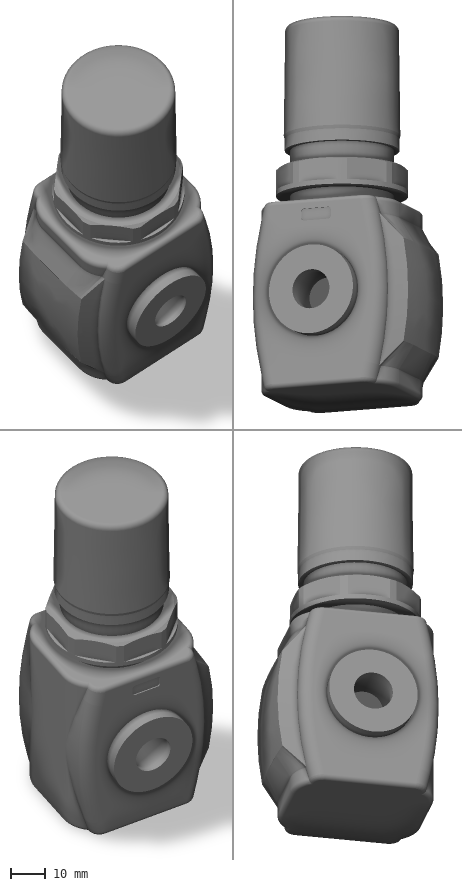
import cadquery as cq
import math

HOUSING_HEIGHT = 54.9
HOUSING_HALF_WIDTH = 20.1
MID_Z = HOUSING_HEIGHT / 2
SIDE_CORNER_RADIUS = 3.7
RIM_RADIUS = 1.3
BOW_Y = 20.8
BOW_SAG = 2.6
BOW_HALF_HEIGHT = 22.3
BOW_RADIUS = (BOW_HALF_HEIGHT**2 + BOW_SAG**2) / (2 * BOW_SAG)
SEAM_X = HOUSING_HALF_WIDTH - SIDE_CORNER_RADIUS

PAD_Y = 20.9
PAD_FLAT_HALF_WIDTH = 8.2
PAD_ARC_RADIUS = 10.4

COVER_ROOT_Y = 10.9
COVER_HALF_WIDTH = 13.5
COVER_HALF_HEIGHT = 15.2
COVER_CREST_Y = 26.9
COVER_CREST_SAG = 1.9
COVER_EDGE_Y = 25.9
COVER_EDGE_SAG = 1.4
COVER_FLAT_HALF_WIDTH = 6.8
COVER_STRIP_X = 12.9

PORT_DIAMETER = 26.0
PORT_REACH = 24.0
PORT_BORE_DIAMETER = 11.4
PORT_BORE_DEPTH = 13.1

LABEL_LENGTH = 9.2
LABEL_HEIGHT = 3.5
LABEL_Z = 50.2
LABEL_DEPTH = 0.3
LABEL_CORNER_RADIUS = 0.9

NECK_DIAMETER = 30.0
NUT_BOTTOM_Z = 59.0
NUT_TOP_Z = 67.0
NUT_DIAMETER = 38.0
NUT_FLANGE_THICKNESS = 1.4
NUT_ACROSS_FLATS = 36.0
NUT_SIDES = 8
NUT_CHAMFER_ANGLE = 30
RING_BOTTOM_Z = 72.4
RING_TOP_Z = 75.8
RING_DIAMETER = 33.0
KNOB_TOP_Z = 109.0
KNOB_TOP_RADIUS = 16.4
KNOB_SKIRT_RADIUS = 16.8
KNOB_CHAMFER_HEIGHT = 1.0
KNOB_EDGE_RADIUS = 1.6


def cylinder(diameter, bottom_z, top_z):
    return cq.Workplane("XY").workplane(offset=bottom_z).circle(diameter / 2).extrude(top_z - bottom_z)


def bowed_block():
    """Block with arched front and back that run on along the arc's end tangents to the top and bottom."""
    end_slope = math.tan(math.asin(BOW_HALF_HEIGHT / BOW_RADIUS))
    arc_end_y = BOW_Y - BOW_SAG
    rim_y = arc_end_y - (MID_Z - BOW_HALF_HEIGHT) * end_slope
    arc_bottom_z = MID_Z - BOW_HALF_HEIGHT
    arc_top_z = MID_Z + BOW_HALF_HEIGHT
    side_profile = (
        cq.Workplane("YZ", origin=(-HOUSING_HALF_WIDTH, 0, 0))
        .moveTo(-rim_y, 0)
        .lineTo(rim_y, 0)
        .lineTo(arc_end_y, arc_bottom_z)
        .threePointArc((BOW_Y, MID_Z), (arc_end_y, arc_top_z))
        .lineTo(rim_y, HOUSING_HEIGHT)
        .lineTo(-rim_y, HOUSING_HEIGHT)
        .lineTo(-arc_end_y, arc_top_z)
        .threePointArc((-BOW_Y, MID_Z), (-arc_end_y, arc_bottom_z))
        .close()
    )
    block = side_profile.extrude(2 * HOUSING_HALF_WIDTH)
    block = block.faces("<X or >X").edges("not(|Y)").fillet(SIDE_CORNER_RADIUS)
    return block.faces("<Z or >Z").edges().fillet(RIM_RADIUS)


def pad_arc_y(x):
    """Distance of the pad's corner arc from the XZ plane at a given x."""
    across = x - PAD_FLAT_HALF_WIDTH
    return PAD_Y - PAD_ARC_RADIUS + math.sqrt(PAD_ARC_RADIUS**2 - across**2)


def pad_block():
    """Block with flat front and back whose corners curve back to the seams."""
    arc_mid_x = (PAD_FLAT_HALF_WIDTH + SEAM_X) / 2
    arc_mid_y = pad_arc_y(arc_mid_x)
    seam_y = pad_arc_y(SEAM_X)
    outline = (
        cq.Workplane("XY")
        .moveTo(-PAD_FLAT_HALF_WIDTH, -PAD_Y)
        .lineTo(PAD_FLAT_HALF_WIDTH, -PAD_Y)
        .threePointArc((arc_mid_x, -arc_mid_y), (SEAM_X, -seam_y))
        .lineTo(SEAM_X, seam_y)
        .threePointArc((arc_mid_x, arc_mid_y), (PAD_FLAT_HALF_WIDTH, PAD_Y))
        .lineTo(-PAD_FLAT_HALF_WIDTH, PAD_Y)
        .threePointArc((-arc_mid_x, arc_mid_y), (-SEAM_X, seam_y))
        .lineTo(-SEAM_X, -seam_y)
        .threePointArc((-arc_mid_x, -arc_mid_y), (-PAD_FLAT_HALF_WIDTH, -PAD_Y))
        .close()
    )
    return outline.extrude(HOUSING_HEIGHT).faces("<Z or >Z").edges().fillet(RIM_RADIUS)


def bow_y(height_from_mid):
    """Distance of the bowed front from the XZ plane within its arc."""
    return BOW_Y - BOW_RADIUS + math.sqrt(BOW_RADIUS**2 - height_from_mid**2)


def cover_crest_y(height_from_mid):
    """Distance of the cover's centre line from the XZ plane."""
    return COVER_CREST_Y - COVER_CREST_SAG * (height_from_mid / COVER_HALF_HEIGHT) ** 2


def cover_edge_y(height_from_mid):
    """Distance of the cover's side edges from the XZ plane."""
    return COVER_EDGE_Y - COVER_EDGE_SAG * (height_from_mid / COVER_HALF_HEIGHT) ** 2


def cover_end_face_y(x):
    """Distance from the XZ plane, at a given x, of the arc where the face meets a sloped end."""
    crest_y = cover_crest_y(COVER_HALF_HEIGHT)
    rise = crest_y - cover_edge_y(COVER_HALF_HEIGHT)
    arc_radius = (COVER_HALF_WIDTH**2 + rise**2) / (2 * rise)
    return crest_y - arc_radius + math.sqrt(arc_radius**2 - x**2)


def cover_section(height_from_mid):
    """Trapezoid with a gently arched face, across the cover."""
    root_y = bow_y(height_from_mid)
    edge_y = cover_edge_y(height_from_mid)
    return (
        cq.Workplane("XY", origin=(0, 0, MID_Z + height_from_mid))
        .moveTo(SEAM_X, -COVER_ROOT_Y)
        .lineTo(SEAM_X, -root_y)
        .lineTo(COVER_HALF_WIDTH, -edge_y)
        .threePointArc((0, -cover_crest_y(height_from_mid)), (-COVER_HALF_WIDTH, -edge_y))
        .lineTo(-SEAM_X, -root_y)
        .lineTo(-SEAM_X, -COVER_ROOT_Y)
        .close()
        .val()
    )


def slope_section(z, strip_x, flat_x, face_y, edge_y):
    """Section of a sloped end: corner strip, corner arc and straight middle, then the same mirrored.

    face_y gives the distance of the corner arc from the XZ plane; the strip ends at edge_y on the
    side of the housing.
    """
    side_x = HOUSING_HALF_WIDTH
    arc_mid_x = (strip_x + flat_x) / 2
    arc_mid_y = face_y(arc_mid_x)
    strip_y = face_y(strip_x)
    flat_y = face_y(flat_x)
    return (
        cq.Workplane("XY", origin=(0, 0, z))
        .moveTo(side_x, -COVER_ROOT_Y)
        .lineTo(side_x, -edge_y)
        .lineTo(strip_x, -strip_y)
        .threePointArc((arc_mid_x, -arc_mid_y), (flat_x, -flat_y))
        .lineTo(-flat_x, -flat_y)
        .threePointArc((-arc_mid_x, -arc_mid_y), (-strip_x, -strip_y))
        .lineTo(-side_x, -edge_y)
        .lineTo(-side_x, -COVER_ROOT_Y)
        .close()
        .val()
    )


def slope_envelope():
    """Space under the sloped top end, from the end of the cover's face up to the pad's outline."""
    bow_end_y = BOW_Y - BOW_SAG
    pad_drop = PAD_ARC_RADIUS - (PAD_Y - bow_end_y)
    pad_section = slope_section(
        z=MID_Z + BOW_HALF_HEIGHT,
        strip_x=PAD_FLAT_HALF_WIDTH + math.sqrt(PAD_ARC_RADIUS**2 - pad_drop**2),
        flat_x=PAD_FLAT_HALF_WIDTH,
        face_y=pad_arc_y,
        edge_y=bow_end_y,
    )
    face_section = slope_section(
        z=MID_Z + COVER_HALF_HEIGHT,
        strip_x=COVER_STRIP_X,
        flat_x=COVER_FLAT_HALF_WIDTH,
        face_y=cover_end_face_y,
        edge_y=cover_end_face_y(HOUSING_HALF_WIDTH),
    )
    return cq.Workplane(obj=cq.Solid.makeLoft([face_section, pad_section], True))


def raised_cover():
    """Barrelled trapezoid, cut back by the sloped top and bottom ends."""
    sections = [cover_section(height) for height in (-BOW_HALF_HEIGHT, 0, BOW_HALF_HEIGHT)]
    barrel = cq.Workplane(obj=cq.Solid.makeLoft(sections))
    top_envelope = slope_envelope()
    middle_envelope = cq.Workplane("XY", origin=(0, 0, MID_Z)).box(
        2 * HOUSING_HALF_WIDTH, 2 * COVER_CREST_Y, 2 * COVER_HALF_HEIGHT
    )
    envelope = middle_envelope.union(top_envelope).union(top_envelope.mirror("XY", (0, 0, MID_Z)))
    return barrel.intersect(envelope)


def side_cylinder(diameter, start_x, length):
    """Cylinder along X through the middle of the housing's height."""
    return cq.Workplane("YZ", origin=(start_x, 0, MID_Z)).circle(diameter / 2).extrude(length)


def label_recess():
    recess = cq.Workplane("YZ", origin=(-HOUSING_HALF_WIDTH, 0, LABEL_Z)).rect(LABEL_LENGTH, LABEL_HEIGHT)
    return recess.extrude(LABEL_DEPTH).edges("|X").fillet(LABEL_CORNER_RADIUS)


def make_housing():
    """Bowed block with pads, cover, a port boss on each side, blind port bores and a label recess."""
    housing = bowed_block().union(pad_block()).union(raised_cover())
    housing = housing.union(side_cylinder(PORT_DIAMETER, -PORT_REACH, 2 * PORT_REACH))
    for bore_start_x in (-PORT_REACH, PORT_REACH - PORT_BORE_DEPTH):
        housing = housing.cut(side_cylinder(PORT_BORE_DIAMETER, bore_start_x, PORT_BORE_DEPTH))
    return housing.cut(label_recess())


def make_neck():
    """Plain cylinder from the housing's top to the underside of the knob, through nut and ring."""
    return cylinder(NECK_DIAMETER, HOUSING_HEIGHT, RING_TOP_Z)


def make_nut():
    """Octagon with rounded corners, chamfered on top, over a round flange."""
    chamfer_width = (NUT_DIAMETER - NUT_ACROSS_FLATS) / 2
    chamfer_height = chamfer_width * math.tan(math.radians(NUT_CHAMFER_ANGLE))
    across_corners = NUT_ACROSS_FLATS / math.cos(math.pi / NUT_SIDES)
    octagon = (
        cq.Workplane("XY", origin=(0, 0, NUT_BOTTOM_Z))
        .polygon(NUT_SIDES, across_corners)
        .extrude(NUT_TOP_Z - NUT_BOTTOM_Z)
        .rotate((0, 0, 0), (0, 0, 1), 180 / NUT_SIDES)
    )
    rounding = cylinder(NUT_DIAMETER, NUT_BOTTOM_Z, NUT_TOP_Z)
    rounding = rounding.faces(">Z").chamfer(chamfer_height, chamfer_width)
    flange = cylinder(NUT_DIAMETER, NUT_BOTTOM_Z, NUT_BOTTOM_Z + NUT_FLANGE_THICKNESS)
    bore = cylinder(NECK_DIAMETER, NUT_BOTTOM_Z, NUT_TOP_Z)
    return octagon.intersect(rounding).union(flange).cut(bore)


def make_ring():
    ring = cylinder(RING_DIAMETER, RING_BOTTOM_Z, RING_TOP_Z)
    return ring.cut(cylinder(NECK_DIAMETER, RING_BOTTOM_Z, RING_TOP_Z))


def make_knob():
    """Slightly tapered knob with a chamfered skirt and a rounded top edge."""
    knob = (
        cq.Workplane("XZ")
        .moveTo(0, RING_TOP_Z)
        .lineTo(RING_DIAMETER / 2, RING_TOP_Z)
        .lineTo(KNOB_SKIRT_RADIUS, RING_TOP_Z + KNOB_CHAMFER_HEIGHT)
        .lineTo(KNOB_TOP_RADIUS, KNOB_TOP_Z)
        .lineTo(0, KNOB_TOP_Z)
        .close()
        .revolve(360, (0, 0, 0), (0, 1, 0))
    )
    return knob.faces(">Z").edges().fillet(KNOB_EDGE_RADIUS)


housing = make_housing()
neck = make_neck()
nut = make_nut()
ring = make_ring()
knob = make_knob()

result = cq.Compound.makeCompound([housing.val(), neck.val(), nut.val(), ring.val(), knob.val()])